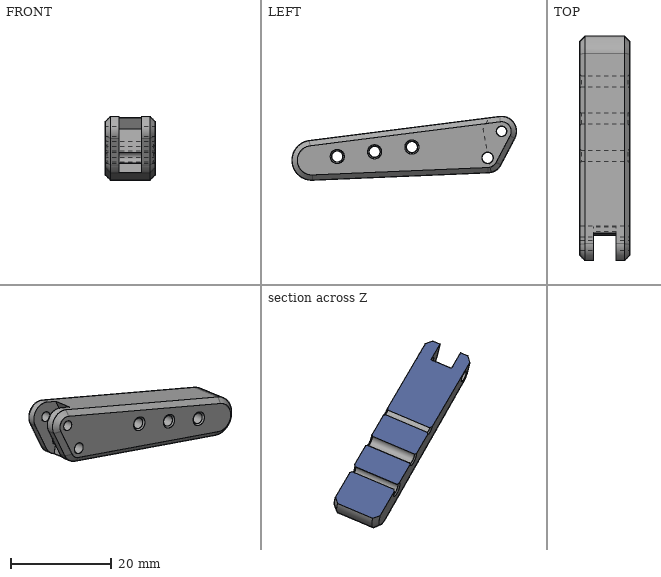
import cadquery as cq
import math

WIDTH = 10.0
LENGTH = 44.8
HEIGHT = 12.75
TAIL_RADIUS = 4.0
FORK_RADIUS = 3.0
EDGE_CHAMFER = 1.07

TAIL_CENTER = (LENGTH - TAIL_RADIUS, TAIL_RADIUS)
UPPER_PIN = (FORK_RADIUS, HEIGHT - FORK_RADIUS)
LOWER_PIN = (5.78, 4.5)

UPPER_PIN_DIAMETER = 2.0
LOWER_PIN_DIAMETER = 2.2

ROW_START = (20.85, 6.63)
ROW_STEP = (7.45, -0.95)
ROW_COUNT = 3
ROW_DIAMETER = 2.2
COUNTERSINK_DIAMETER = 2.8
COUNTERSINK_DEPTH = (COUNTERSINK_DIAMETER - ROW_DIAMETER) / 2

SLOT_WIDTH = 4.5
SLOT_MOUTH_Y = 5.55
SLOT_MOUTH_Z = 12.3
SLOT_CORNER = (6.65, 10.2)
SLOT_FOOT = (5.05, 1.55)
CUT_MARGIN = 2.25


def tangent_points(start, start_radius, end, end_radius):
    """Ends of the outer tangent line between two circles met counterclockwise."""
    dy = end[0] - start[0]
    dz = end[1] - start[1]
    distance = math.hypot(dy, dz)
    lean = math.acos((start_radius - end_radius) / distance)
    angle = math.atan2(dz, dy) - lean
    normal = (math.cos(angle), math.sin(angle))
    return [
        (center[0] + radius * normal[0], center[1] + radius * normal[1])
        for center, radius in ((start, start_radius), (end, end_radius))
    ]


def arc_middle(center, radius, start, end):
    """Middle of the short arc between two points of a circle."""
    dy = start[0] + end[0] - 2 * center[0]
    dz = start[1] + end[1] - 2 * center[1]
    scale = radius / math.hypot(dy, dz)
    return (center[0] + dy * scale, center[1] + dz * scale)


def make_body():
    corners = [
        (LOWER_PIN, FORK_RADIUS),
        (TAIL_CENTER, TAIL_RADIUS),
        (UPPER_PIN, FORK_RADIUS),
    ]
    count = len(corners)
    edges = [tangent_points(*corners[i], *corners[(i + 1) % count]) for i in range(count)]
    outline = cq.Workplane("YZ", origin=(-WIDTH / 2, 0, 0)).moveTo(*edges[0][0])
    for i in range(count):
        arc_start = edges[i][1]
        arc_end = edges[(i + 1) % count][0]
        middle = arc_middle(*corners[(i + 1) % count], arc_start, arc_end)
        outline = outline.lineTo(*arc_start).threePointArc(middle, arc_end)
    body = outline.close().extrude(WIDTH)
    return body.faces("<X or >X").chamfer(EDGE_CHAMFER)


def make_cross_hole(center, diameter):
    left_face = cq.Workplane("YZ", origin=(-WIDTH / 2, 0, 0))
    return left_face.center(*center).circle(diameter / 2).extrude(WIDTH)


def make_countersink(center, side):
    """Cone opening outward on the -X (side = -1) or +X (side = 1) face."""
    cone = cq.Solid.makeCone(
        COUNTERSINK_DIAMETER / 2,
        ROW_DIAMETER / 2,
        COUNTERSINK_DEPTH,
        pnt=cq.Vector(side * WIDTH / 2, *center),
        dir=cq.Vector(-side, 0, 0),
    )
    return cq.Workplane(cone)


def make_slot():
    lean = (SLOT_CORNER[0] - SLOT_FOOT[0]) / (SLOT_CORNER[1] - SLOT_FOOT[1])
    bottom_z = -CUT_MARGIN
    bottom_y = SLOT_FOOT[0] + lean * (bottom_z - SLOT_FOOT[1])
    overhang = (SLOT_CORNER[0] - SLOT_MOUTH_Y) / (SLOT_MOUTH_Z - SLOT_CORNER[1])
    top_z = HEIGHT + CUT_MARGIN
    top_y = SLOT_MOUTH_Y - overhang * (top_z - SLOT_MOUTH_Z)
    profile = [
        (-CUT_MARGIN, bottom_z),
        (bottom_y, bottom_z),
        SLOT_CORNER,
        (top_y, top_z),
        (-CUT_MARGIN, top_z),
    ]
    return cq.Workplane("YZ").polyline(profile).close().extrude(SLOT_WIDTH / 2, both=True)


result = make_body().cut(make_slot())
result = result.cut(make_cross_hole(UPPER_PIN, UPPER_PIN_DIAMETER))
result = result.cut(make_cross_hole(LOWER_PIN, LOWER_PIN_DIAMETER))
for index in range(ROW_COUNT):
    hole_center = (ROW_START[0] + index * ROW_STEP[0], ROW_START[1] + index * ROW_STEP[1])
    result = result.cut(make_cross_hole(hole_center, ROW_DIAMETER))
    for face_side in (-1, 1):
        result = result.cut(make_countersink(hole_center, face_side))